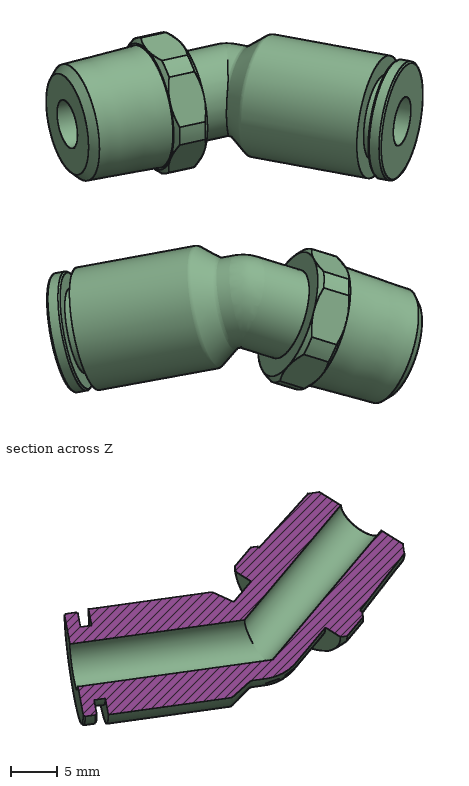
import cadquery as cq
import math

OVERALL_LENGTH = 37.83
BEND_ANGLE = 45.0
NECK_RADIUS = 5.0
BORE_RADIUS = 2.7

TIP_RADIUS = 5.6
TIP_CHAMFER_LENGTH = 0.9
THREAD_START_RADIUS = 6.47
GAUGE_RADIUS = 6.6
GAUGE_Y = 4.55
THREAD_END_RADIUS = 6.77

HEX_START_Y = 9.5
HEX_END_Y = 13.5
HEX_FLATS = 14.0
HEX_CORNER_RADIUS = 7.53
HEX_CHAMFER_RADIUS = 7.0
HEX_CHAMFER_LENGTH = 0.5

SHOULDER_START = 1.65
SHOULDER_END = 4.0
SHOULDER_FILLET = 0.55
SOCKET_RADIUS = 6.77
SOCKET_END = 17.6
RING_NECK_RADIUS = 4.7
RING_RADIUS = 6.6
RING_START = 18.75
RING_END = 20.28
RING_CHAMFER = 0.2

BEND_SINE = math.sin(math.radians(BEND_ANGLE))
BEND_COSINE = math.cos(math.radians(BEND_ANGLE))
RING_REACH_Y = RING_END * BEND_COSINE + (RING_RADIUS - RING_CHAMFER) * BEND_SINE
BEND_Y = OVERALL_LENGTH - RING_REACH_Y


def revolve_profile(points):
    """Solid of revolution about Y from (radius, y) points, closed along the axis."""
    outline = [(0, points[0][1])] + points + [(0, points[-1][1])]
    return cq.Workplane("XY").polyline(outline).close().revolve(360, (0, 0, 0), (0, 1, 0))


def along_y(start_y):
    """Workplane facing +Y at the given place on the stem axis."""
    return cq.Workplane(cq.Plane((0, start_y, 0), xDir=(1, 0, 0), normal=(0, 1, 0)))


def tilt(body):
    """Move a body from the origin to the bend and lean it toward +X."""
    return body.rotate((0, 0, 0), (0, 0, 1), -BEND_ANGLE).translate((0, BEND_Y, 0))


def make_stem():
    return revolve_profile([
        (TIP_RADIUS, 0),
        (THREAD_START_RADIUS, TIP_CHAMFER_LENGTH),
        (GAUGE_RADIUS, GAUGE_Y),
        (THREAD_END_RADIUS, HEX_START_Y),
        (NECK_RADIUS, HEX_START_Y),
        (NECK_RADIUS, BEND_Y),
    ])


def make_hex():
    corner_diameter = HEX_FLATS / math.cos(math.radians(30))
    prism = along_y(HEX_START_Y).polygon(6, corner_diameter).extrude(HEX_END_Y - HEX_START_Y)
    turned_blank = revolve_profile([
        (HEX_CHAMFER_RADIUS, HEX_START_Y),
        (HEX_CORNER_RADIUS, HEX_START_Y + HEX_CHAMFER_LENGTH),
        (HEX_CORNER_RADIUS, HEX_END_Y - HEX_CHAMFER_LENGTH),
        (HEX_CHAMFER_RADIUS, HEX_END_Y),
    ])
    return prism.intersect(turned_blank)


def make_bend():
    """Ball wedge that rounds the outside of the bend between the two legs."""
    half_disc = (
        cq.Workplane("XZ")
        .moveTo(0, -NECK_RADIUS)
        .threePointArc((-NECK_RADIUS, 0), (0, NECK_RADIUS))
        .close()
    )
    wedge = half_disc.revolve(BEND_ANGLE, (0, 0, 0), (0, -1, 0))
    return wedge.translate((0, BEND_Y, 0))


def make_socket():
    body = revolve_profile([
        (NECK_RADIUS, 0),
        (NECK_RADIUS, SHOULDER_START),
        (SOCKET_RADIUS, SHOULDER_END),
        (SOCKET_RADIUS, SOCKET_END),
    ])
    shoulder_edges = cq.selectors.BoxSelector(
        (-SOCKET_RADIUS, SHOULDER_START / 2, -SOCKET_RADIUS),
        (SOCKET_RADIUS, SHOULDER_END + SHOULDER_START / 2, SOCKET_RADIUS),
    )
    body = body.edges("%CIRCLE").edges(shoulder_edges).fillet(SHOULDER_FILLET)
    return tilt(body)


def make_release_ring():
    return tilt(revolve_profile([
        (RING_NECK_RADIUS, SOCKET_END),
        (RING_NECK_RADIUS, RING_START),
        (RING_RADIUS - RING_CHAMFER, RING_START),
        (RING_RADIUS, RING_START + RING_CHAMFER),
        (RING_RADIUS, RING_END - RING_CHAMFER),
        (RING_RADIUS - RING_CHAMFER, RING_END),
    ]))


def make_bore():
    """Flow passage through both legs, mitred where they meet."""
    end_point = (RING_END * BEND_SINE, BEND_Y + RING_END * BEND_COSINE)
    axis = cq.Workplane("XY").lineTo(0, BEND_Y).lineTo(*end_point)
    return along_y(0).circle(BORE_RADIUS).sweep(axis, transition="right")


stem = make_stem().union(make_hex())
socket = make_socket().union(make_release_ring())
fitting = stem.union(socket).union(make_bend())
result = fitting.cut(make_bore())